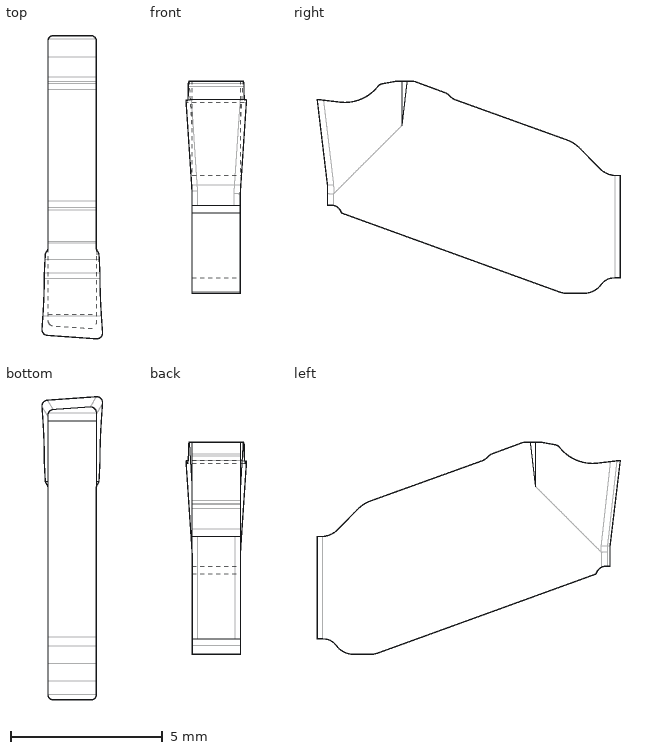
import cadquery as cq
import math

length = 10
height = 7
body_width = 1.6
body_side = body_width / 2
overrun = 0.5
blank_width = 3

rear_top = 3.89
rear_bottom = 0.51
rear_round = 0.18

tip_height = 6.4
tip_mid_y = 0.056
foot_mid_y = 0.38
foot_bottom = 2.9
relief_start = 3.58
front_skew = 4
corner_round = 0.2
nose_rear = 1.5
upright_limit = 0.9

flare_y = 2.8
flare_z = 5.54
flare_slope = 0.06
flare_back_run = 0.17
reach = 10


def make_profile():
    """Side outline in Y and Z, left overlong in front for the skewed trim."""
    rake_low = (0.76, 6.31)
    rake_high = (2, 6.82)
    rake_slope = (tip_height - rake_low[1]) / rake_low[0]
    run = rake_high[0] - rake_low[0]
    rise = rake_high[1] - rake_low[1]
    bulge = math.tan((math.atan(rake_slope) + math.atan2(rise, run)) / 2) / 2
    rake_mid = (
        rake_low[0] + run / 2 + bulge * rise,
        rake_low[1] + rise / 2 - bulge * run,
    )
    return (
        cq.Workplane("YZ")
        .moveTo(length, rear_bottom)
        .lineTo(length, rear_top)
        .lineTo(9.88, rear_top)
        .threePointArc((9.62, 3.93), (9.3, 4.14))
        .lineTo(8.64, 4.81)
        .threePointArc((8.56, 4.88), (8.48, 4.94))
        .lineTo(8.42, 4.98)
        .threePointArc((8.32, 5.03), (8.22, 5.07))
        .lineTo(4.55, 6.39)
        .threePointArc((4.43, 6.46), (4.34, 6.55))
        .lineTo(4.25, 6.61)
        .lineTo(3.22, 6.99)
        .lineTo(3.16, height)
        .lineTo(2.62, height)
        .lineTo(2.17, 6.92)
        .threePointArc((2.08, 6.89), rake_high)
        .threePointArc(rake_mid, rake_low)
        .lineTo(-overrun, tip_height + rake_slope * overrun)
        .lineTo(-overrun, foot_bottom)
        .lineTo(0.54, foot_bottom)
        .threePointArc((0.69, 2.83), (0.8, 2.65))
        .lineTo(7.92, 0.07)
        .threePointArc((8.07, 0.02), (8.22, 0))
        .lineTo(8.8, 0)
        .threePointArc((9.12, 0.08), (9.37, 0.3))
        .threePointArc((9.57, 0.46), (9.82, rear_bottom))
        .close()
        .extrude(blank_width / 2, both=True)
    )


def make_flare():
    """Flare on the -X side: a tetrahedron whose apex is the lower rear corner."""
    rise = height - flare_z
    apex = cq.Vector(-body_side, flare_y, flare_z)
    lower = apex + cq.Vector(0, -reach, -reach)
    upper = apex + cq.Vector(-flare_slope * reach, 0, reach)
    rear = apex + cq.Vector(0, flare_back_run / rise * reach, reach)
    triangles = [
        (apex, lower, rear),
        (apex, upper, lower),
        (apex, rear, upper),
        (lower, upper, rear),
    ]
    faces = [
        cq.Face.makeFromWires(cq.Wire.makePolygon(points, close=True))
        for points in triangles
    ]
    solid = cq.Solid.makeSolid(cq.Shell.makeShell(faces))
    return cq.Workplane(obj=solid.fix())


def make_front_trim():
    """Material ahead of the front face, turned about Z by the skew angle."""
    ahead = -2 * length
    lean = (foot_mid_y - tip_mid_y) / (tip_height - relief_start)
    top = 2 * height
    return (
        cq.Workplane("YZ")
        .moveTo(foot_mid_y, 0)
        .lineTo(foot_mid_y, relief_start)
        .lineTo(foot_mid_y - lean * (top - relief_start), top)
        .lineTo(ahead, top)
        .lineTo(ahead, 0)
        .close()
        .extrude(blank_width, both=True)
        .rotate((0, tip_mid_y, 0), (0, tip_mid_y, 1), -front_skew)
    )


def make_nose():
    """Tapered front block whose sides continue the planes of both flares."""
    half_depth = reach / math.sqrt(2)
    widening = flare_slope * reach
    flare_line = cq.Plane(
        origin=(0, flare_y, flare_z), xDir=(1, 0, 0), normal=(0, -1, -1)
    )
    return (
        cq.Workplane(flare_line)
        .moveTo(-body_side + widening, -half_depth)
        .lineTo(body_side - widening, -half_depth)
        .lineTo(body_side + widening, half_depth)
        .lineTo(-body_side - widening, half_depth)
        .close()
        .extrude(reach, both=True)
    )


def make_block(width, rear):
    """Upright block from the rear position to well ahead of the tip."""
    ahead = -2
    return (
        cq.Workplane("XY")
        .box(width, rear - ahead, height + overrun, centered=(True, False, False))
        .translate((0, ahead, 0))
    )


def round_front(block):
    """Trim a block to the skewed front face and round its upright corners."""
    trimmed = block.cut(make_front_trim())
    front_zone = cq.selectors.BoxSelector(
        (-blank_width, -length, 0), (blank_width, nose_rear / 2, 2 * height)
    )
    front_corners = [
        edge
        for edge in trimmed.edges(front_zone).vals()
        if abs(edge.tangentAt(0.5).z) > upright_limit
    ]
    return trimmed.newObject(front_corners).fillet(corner_round)


body = round_front(make_block(body_width, length + overrun))
nose = round_front(make_nose().intersect(make_block(blank_width, nose_rear)))
flare = make_flare().cut(make_block(blank_width, nose_rear))
blank = body.union(nose).union(flare).union(flare.mirror("YZ"))

part = make_profile().intersect(blank).clean()
result = part.faces(">Y").edges("|Z").fillet(rear_round)